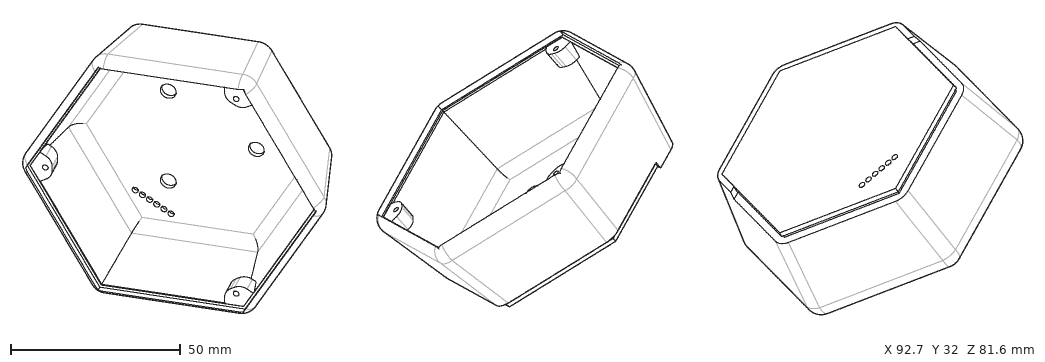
import cadquery as cq
import math


depth = 32.0
back_apothem = 35.56
wall_slope = 0.192
edge_radius = 5.0
rim_trim = 0.813

lip_apothem = 38.55
lip_depth = 2.0
mouth_apothem = 37.75
flare_length = 0.7
cavity_apothem = 37.9
floor_thickness = 1.6
cavity_fillet = 4.0

plate_thickness = 1.4
plate_apothem = 33.9

notch_depth = 2.6
edge_below_plate_apothem = 33.3
notch_reach = 26.6
notch_span = 120.0

boss_angles = (60, 180, 300)
boss_half_width = 5.85
boss_reach = 6.7
boss_top = 2.15
boss_length = 5.7
boss_fillet = 3.8
boss_overrun = 1.0
screw_radius = 39.0
screw_diameter = 1.7

magnet_angles = (0, 120, 240)
magnet_radius = 18.0
magnet_diameter = 4.85

contact_count = 6
contact_pitch = 2.54
contact_diameter = 1.85
contact_radius = 27.3
contact_angle = 240

plate_front = depth - plate_thickness
flare_back = lip_depth + flare_length
notch_front = depth - notch_depth
floor_y = plate_front - floor_thickness


def section_plane(y):
    """Plane square to Y, with local x along X and local y along Z."""
    return cq.Workplane("XZ", origin=(0, y, 0))


def polar(radius, angle):
    """Point at a radius and an angle in degrees from +X towards +Z."""
    return (radius * math.cos(math.radians(angle)), radius * math.sin(math.radians(angle)))


def across_corners(apothem):
    """Size of a hexagon between opposite corners."""
    return 2 * apothem / math.cos(math.radians(30))


def hexagon(apothem, y_front, y_back):
    """Straight hexagonal prism."""
    return section_plane(y_front).polygon(6, across_corners(apothem)).extrude(y_front - y_back)


def tapered_hexagon(front_apothem, y_front, y_back):
    """Hexagonal prism that narrows towards the back by the wall slope."""
    draft = math.degrees(math.atan(wall_slope))
    outline = section_plane(y_front).polygon(6, across_corners(front_apothem))
    return outline.extrude(y_front - y_back, taper=draft)


def round_holes(points, diameter, y_front, y_back):
    """Cylinders along Y, for cutting."""
    return section_plane(y_front).pushPoints(points).circle(diameter / 2).extrude(y_front - y_back)


def outer_body():
    front_apothem = back_apothem + wall_slope * (depth + rim_trim)
    body = tapered_hexagon(front_apothem, -rim_trim, depth)
    return body.edges("not >Y").fillet(edge_radius)


def cavity():
    pocket = tapered_hexagon(cavity_apothem, flare_back, floor_y)
    pocket = pocket.faces(">Y").edges().fillet(cavity_fillet)
    lip = hexagon(lip_apothem, -rim_trim, lip_depth)
    flare_angle = math.degrees(math.atan((cavity_apothem - mouth_apothem) / flare_length))
    flare = section_plane(flare_back).polygon(6, across_corners(cavity_apothem))
    flare = flare.extrude(flare_length, taper=flare_angle)
    return pocket.union(flare).union(lip)


def back_plate():
    return tapered_hexagon(plate_apothem, plate_front, depth)


def notch():
    """Slab behind the wall. Two of its sides, 120 degrees apart, end the opening."""
    apex_x, apex_z = polar(notch_reach / math.cos(math.radians(30)), contact_angle - 180)
    first_x, first_z = polar(notch_span, contact_angle - 60)
    second_x, second_z = polar(notch_span, contact_angle + 60)
    outline = [
        (apex_x, apex_z),
        (apex_x + first_x, apex_z + first_z),
        (apex_x + first_x + second_x, apex_z + first_z + second_z),
        (apex_x + second_x, apex_z + second_z),
    ]
    slab = section_plane(notch_front).polyline(outline).close().extrude(notch_front - depth)
    return slab.cut(hexagon(edge_below_plate_apothem, notch_front, plate_front))


def boss():
    """Screw boss in the corner on +X, before it is trimmed to the outer shape."""
    corner = across_corners(mouth_apothem) / 2
    foot_x = corner - boss_half_width * math.cos(math.radians(60))
    foot_z = boss_half_width * math.sin(math.radians(60))
    tip_x = corner - boss_reach
    tip_z = foot_z - (foot_x - tip_x) * math.tan(math.radians(30))
    out_x = foot_x + boss_overrun * math.cos(math.radians(30))
    out_z = foot_z + boss_overrun * math.sin(math.radians(30))
    outline = [
        (tip_x, tip_z),
        (out_x, out_z),
        (corner + boss_overrun, 0),
        (out_x, -out_z),
        (tip_x, -tip_z),
    ]
    body = section_plane(boss_top).polyline(outline).close().extrude(-boss_length)
    body = body.edges("|Y").edges("<X").fillet(boss_fillet)
    return body.cut(round_holes([(screw_radius, 0)], screw_diameter, boss_top, boss_top + boss_length))


def contact_holes():
    middle_x, middle_z = polar(contact_radius, contact_angle)
    points = []
    for i in range(contact_count):
        x, z = polar((i - (contact_count - 1) / 2) * contact_pitch, contact_angle + 90)
        points.append((middle_x + x, middle_z + z))
    return round_holes(points, contact_diameter, floor_y, depth)


def housing_body():
    shell = outer_body()
    body = shell.cut(cavity()).cut(notch())
    for angle in boss_angles:
        turned = boss().rotate((0, 0, 0), (0, 1, 0), -angle)
        body = body.union(turned.intersect(shell))
    magnets = [polar(magnet_radius, angle) for angle in magnet_angles]
    body = body.cut(round_holes(magnets, magnet_diameter, floor_y, plate_front))
    return body.cut(back_plate()).cut(contact_holes())


housing = housing_body()
plate = back_plate().cut(contact_holes())

result = cq.Compound.makeCompound([housing.val(), plate.val()])